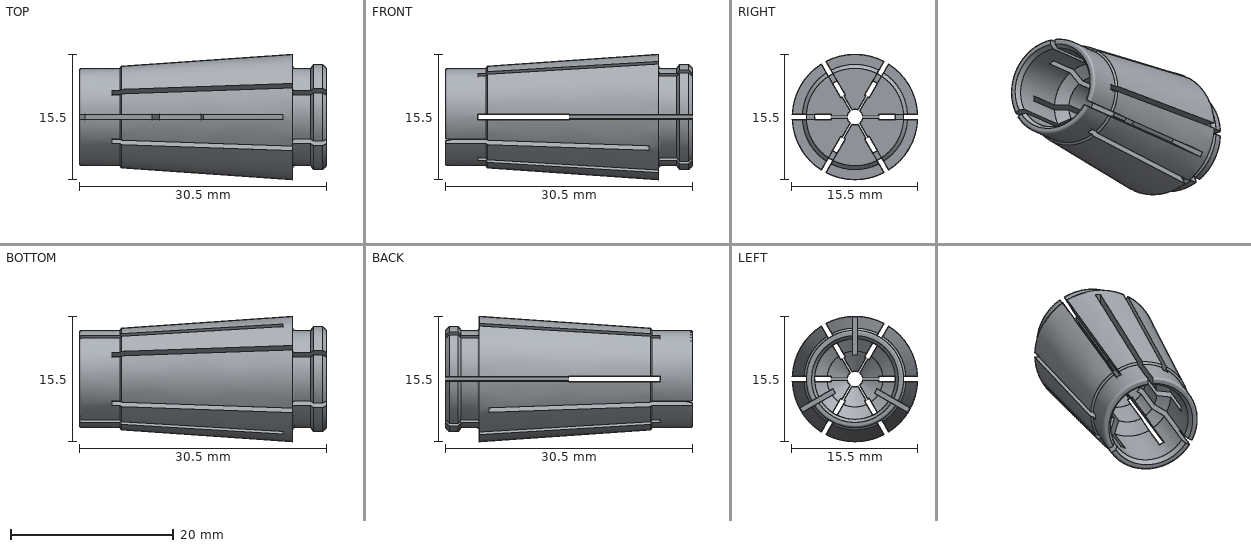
import cadquery as cq
import math


length = 30.5
sleeve_end = 5.0
cone_start = 5.2
cone_end = 26.32
collar_start = 28.55
collar_rim_start = 28.9
bore_cone_start = 8.97
tip_start = 15.0

sleeve_radius = 6.0
cone_start_radius = 6.28
cone_end_radius = 7.75
collar_radius = 6.5
collar_chamfer = 0.5
edge_round = 0.27

wide_bore_radius = 4.97
narrow_bore_radius = 3.45
pilot_radius = 0.95
drill_half_angle = math.radians(59)
lead_in_length = 0.67
lead_in_half_angle = math.radians(30)
lead_in_radius = wide_bore_radius + lead_in_length * math.tan(lead_in_half_angle)

slot_width = 0.65
slot_floor_radius = 2.95
slit_width = 0.25
front_slot_count = 3
front_slot_end = 25.1
back_slot_count = 6
back_slot_start = 4.0
cutter_height = cone_end_radius + 0.6


def spin(profile):
    """Revolve a half profile drawn in XY about the X axis."""
    return profile.close().revolve(360, (0, 0, 0), (1, 0, 0))


def outer_body():
    round_shift = edge_round * (1 - math.sqrt(0.5))
    return spin(
        cq.Workplane("XY")
        .lineTo(0, sleeve_radius - edge_round)
        .threePointArc((round_shift, sleeve_radius - round_shift), (edge_round, sleeve_radius))
        .lineTo(sleeve_end, sleeve_radius)
        .lineTo(cone_start, cone_start_radius)
        .lineTo(cone_end, cone_end_radius)
        .lineTo(cone_end, sleeve_radius + edge_round)
        .threePointArc(
            (cone_end + round_shift, sleeve_radius + round_shift),
            (cone_end + edge_round, sleeve_radius),
        )
        .lineTo(collar_start, sleeve_radius)
        .lineTo(collar_rim_start, collar_radius)
        .lineTo(length - collar_chamfer, collar_radius)
        .lineTo(length, collar_radius - collar_chamfer)
        .lineTo(length, 0)
    )


def bore():
    bore_cone_end = bore_cone_start + (wide_bore_radius - narrow_bore_radius) / math.tan(drill_half_angle)
    tip_end = tip_start + (narrow_bore_radius - pilot_radius) / math.tan(drill_half_angle)
    return spin(
        cq.Workplane("XY")
        .lineTo(0, lead_in_radius)
        .lineTo(lead_in_length, wide_bore_radius)
        .lineTo(bore_cone_start, wide_bore_radius)
        .lineTo(bore_cone_end, narrow_bore_radius)
        .lineTo(tip_start, narrow_bore_radius)
        .lineTo(tip_end, pilot_radius)
        .lineTo(length, pilot_radius)
        .lineTo(length, 0)
    )


def blade(start, end, width):
    """Upright plate from the axis outward along +Z, spanning start to end along X."""
    plate = cq.Workplane("XY").box(end - start, width, cutter_height, centered=(False, True, False))
    return plate.translate((start, 0, 0))


def groove(start, end):
    """Wide slot cutter whose floor is a cylinder about the axis."""
    floor = cq.Workplane("YZ").circle(slot_floor_radius).extrude(length)
    return blade(start, end, slot_width).cut(floor)


def cut_around(body, cutter, count, first_angle):
    """Cut equally spaced copies of a +Z cutter, turned about the X axis."""
    for index in range(count):
        angle = first_angle + index * 360 / count
        body = body.cut(cutter.rotate((0, 0, 0), (1, 0, 0), angle))
    return body


collet = outer_body().cut(bore())

collet = cut_around(collet, groove(0, front_slot_end), front_slot_count, 0)

half_pitch = 180 / back_slot_count
back_slot = groove(back_slot_start, length).union(blade(back_slot_start, length, slit_width))
result = cut_around(collet, back_slot, back_slot_count, half_pitch)